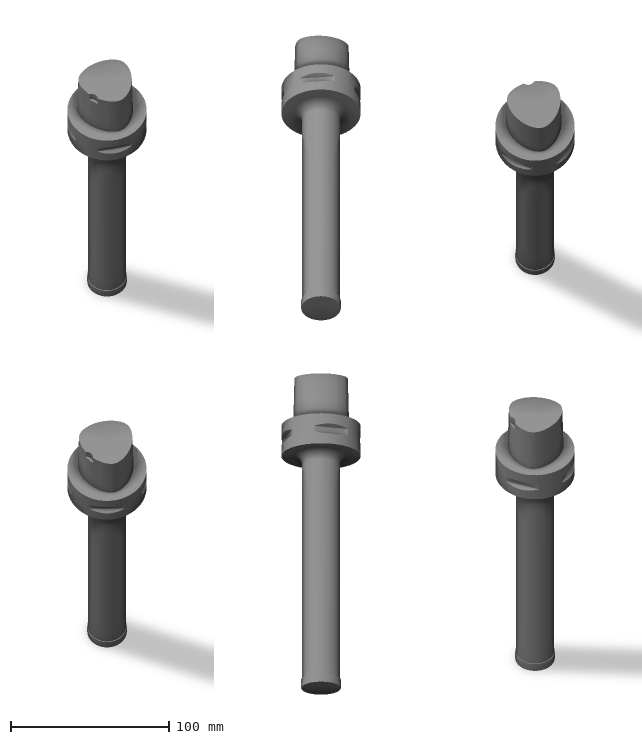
import cadquery as cq
import math

total_length = 205.0
flange_diameter = 50.0
shank_diameter = 24.0
tip_diameter = 25.0

tip_length = 5.7
taper_length = 30.0
flange_length = 20.0
neck_fillet = 5.5

flange_top = total_length - taper_length
flange_bottom = flange_top - flange_length
flange_radius = flange_diameter / 2

polygon_base_width = 35.3
taper_ratio = 1 / 20
polygon_top_width = polygon_base_width - taper_ratio * taper_length
lobe_height = 1.2
lobe_half_angle = 36.0
lobe_count = 3
points_per_face = 9

notch_radius = 4.0
notch_axis_y = -17.8
notch_depth = 5.1

slot_count = 4
slot_start_angle = 45.0
slot_floor_distance = 22.3
slot_floor_height = 3.7
slot_wall_angle = 30.0
slot_center_z = flange_bottom + flange_length / 2
slot_half_length = flange_radius


def polygon_point(width, angle_deg):
    """Point of a constant-width three-lobed curve, angle measured from the +Y lobe."""
    a = math.radians(angle_deg)
    radius = width / 2
    along = radius * math.cos(a) + 2 * lobe_height * math.cos(2 * a) - lobe_height * math.cos(4 * a)
    across = radius * math.sin(a) - 2 * lobe_height * math.sin(2 * a) - lobe_height * math.sin(4 * a)
    return cq.Vector(-across, along, 0)


def polygon_wire(width, z):
    """Closed outline made of alternating lobe and side curves."""
    pitch = 360 / lobe_count
    edges = []
    for i in range(lobe_count):
        axis = i * pitch
        seams = [axis - lobe_half_angle, axis + lobe_half_angle, axis + pitch - lobe_half_angle]
        for start, end in zip(seams, seams[1:]):
            step = (end - start) / (points_per_face - 1)
            points = [
                polygon_point(width, start + k * step) + cq.Vector(0, 0, z)
                for k in range(points_per_face)
            ]
            tangents = [
                cq.Vector(-math.cos(math.radians(a)), -math.sin(math.radians(a)), 0)
                for a in (start, end)
            ]
            edges.append(cq.Edge.makeSpline(points, tangents=tangents))
    return cq.Wire.assembleEdges(edges)


def make_polygon_taper():
    base = polygon_wire(polygon_base_width, flange_top)
    top = polygon_wire(polygon_top_width, total_length)
    return cq.Workplane(obj=cq.Solid.makeLoft([base, top], True))


def make_notch_cutter():
    return (
        cq.Workplane("XY", origin=(0, notch_axis_y, total_length - notch_depth))
        .circle(notch_radius)
        .extrude(notch_depth)
    )


def make_flange_and_shank():
    """Revolved flange and shank, joined by a concave fillet under the flange."""
    shank_radius = shank_diameter / 2
    fillet_top = (shank_radius + neck_fillet, flange_bottom)
    fillet_bottom = (shank_radius, flange_bottom - neck_fillet)
    bulge = neck_fillet * (1 - math.sqrt(0.5))
    fillet_middle = (shank_radius + bulge, flange_bottom - bulge)
    return (
        cq.Workplane("XZ")
        .moveTo(0, tip_length)
        .lineTo(shank_radius, tip_length)
        .lineTo(*fillet_bottom)
        .threePointArc(fillet_middle, fillet_top)
        .lineTo(flange_radius, flange_bottom)
        .lineTo(flange_radius, flange_top)
        .lineTo(0, flange_top)
        .close()
        .revolve(360, (0, 0, 0), (0, 1, 0))
    )


def make_slot_cutter(angle):
    """Straight slot with a flat floor and flared walls, facing outward at the given angle."""
    depth = flange_radius - slot_floor_distance
    floor_half = slot_floor_height / 2
    mouth_half = floor_half + depth * math.tan(math.radians(slot_wall_angle))
    return (
        cq.Workplane("XZ", origin=(0, 0, slot_center_z))
        .polyline([
            (slot_floor_distance, -floor_half),
            (flange_radius, -mouth_half),
            (flange_radius, mouth_half),
            (slot_floor_distance, floor_half),
        ])
        .close()
        .extrude(slot_half_length, both=True)
        .rotate((0, 0, 0), (0, 0, 1), angle)
    )


def make_holder():
    holder = make_flange_and_shank().union(make_polygon_taper())
    holder = holder.cut(make_notch_cutter())
    for i in range(slot_count):
        holder = holder.cut(make_slot_cutter(slot_start_angle + i * 360 / slot_count))
    return holder


def make_tip():
    """Slightly wider disc on the free end of the shank."""
    return cq.Workplane("XY").circle(tip_diameter / 2).extrude(tip_length)


holder = make_holder()
tip = make_tip()

result = cq.Compound.makeCompound([holder.solids().val(), tip.val()])